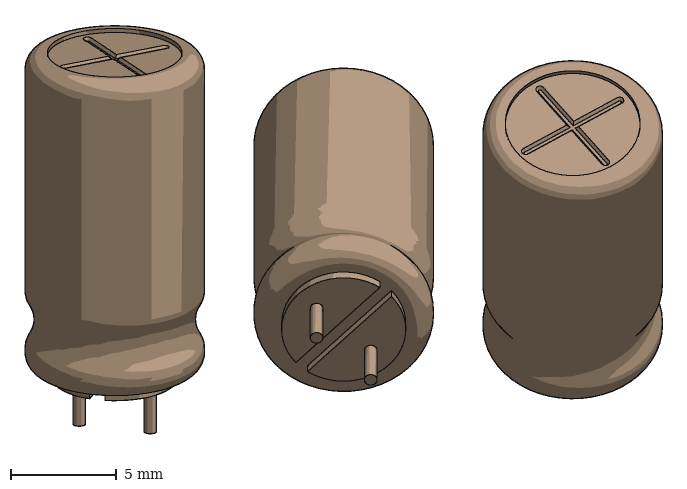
import cadquery as cq
import math

CAN_DIAMETER = 8.5
CAN_HEIGHT = 16.0
CAN_RADIUS = CAN_DIAMETER / 2
EDGE_RADIUS = 0.1 * CAN_DIAMETER

NECK_CENTRE_HEIGHT = 2.5
NECK_HEIGHT = 2.95
NECK_DEPTH = 0.05 * CAN_DIAMETER
NECK_SHOULDER_RADIUS = EDGE_RADIUS
NECK_ANGLE = 2 * math.atan2(NECK_DEPTH, NECK_HEIGHT / 2)

RECESS_DIAMETER = 0.75 * CAN_DIAMETER
RECESS_DEPTH = 0.2
GROOVE_LENGTH = 5.8
GROOVE_WIDTH = 0.4
GROOVE_FLOOR_WIDTH = 0.17
GROOVE_DEPTH = 0.15
GROOVE_ANGLES = (45, 135)

STANDOFF_DIAMETER = 5.87
STANDOFF_HEIGHT = 0.5
STANDOFF_GAP = 0.75

PIN_DIAMETER = 0.6
PIN_PITCH = 3.5
PIN_LENGTH = 2.5

CAN_BOTTOM = STANDOFF_HEIGHT
CAN_TOP = CAN_BOTTOM + CAN_HEIGHT


def arc_point(centre, radius, angle):
    """Point in the (radius, height) plane on an arc about the given centre."""
    return (centre[0] + radius * math.cos(angle), centre[1] + radius * math.sin(angle))


def make_can_shell():
    """Revolve the can outline: rounded rims, straight wall and rolled neck."""
    neck_z = CAN_BOTTOM + NECK_CENTRE_HEIGHT
    shoulder_r = CAN_RADIUS - NECK_SHOULDER_RADIUS
    lower_centre = (shoulder_r, neck_z - NECK_HEIGHT / 2)
    upper_centre = (shoulder_r, neck_z + NECK_HEIGHT / 2)
    rim_r = CAN_RADIUS - EDGE_RADIUS
    bottom_centre = (rim_r, CAN_BOTTOM + EDGE_RADIUS)
    top_centre = (rim_r, CAN_TOP - EDGE_RADIUS)
    rim_mid = math.radians(45)

    outline = (
        cq.Workplane("XZ")
        .moveTo(0, CAN_BOTTOM)
        .lineTo(rim_r, CAN_BOTTOM)
        .threePointArc(
            arc_point(bottom_centre, EDGE_RADIUS, -rim_mid),
            (CAN_RADIUS, CAN_BOTTOM + EDGE_RADIUS),
        )
        .lineTo(CAN_RADIUS, lower_centre[1])
        .threePointArc(
            arc_point(lower_centre, NECK_SHOULDER_RADIUS, NECK_ANGLE / 2),
            arc_point(lower_centre, NECK_SHOULDER_RADIUS, NECK_ANGLE),
        )
        .threePointArc(
            (CAN_RADIUS - NECK_DEPTH, neck_z),
            arc_point(upper_centre, NECK_SHOULDER_RADIUS, -NECK_ANGLE),
        )
        .threePointArc(
            arc_point(upper_centre, NECK_SHOULDER_RADIUS, -NECK_ANGLE / 2),
            (CAN_RADIUS, upper_centre[1]),
        )
        .lineTo(CAN_RADIUS, CAN_TOP - EDGE_RADIUS)
        .threePointArc(
            arc_point(top_centre, EDGE_RADIUS, rim_mid),
            (rim_r, CAN_TOP),
        )
        .lineTo(0, CAN_TOP)
        .close()
    )
    return outline.revolve(360, (0, 0, 0), (0, 1, 0))


def make_top_recess():
    """Shallow round recess in the top, including the cross of grooves in its floor."""
    recess_floor = CAN_TOP - RECESS_DEPTH
    recess = (
        cq.Workplane("XY", origin=(0, 0, recess_floor))
        .circle(RECESS_DIAMETER / 2)
        .extrude(RECESS_DEPTH)
    )
    wall_inset = (GROOVE_WIDTH - GROOVE_FLOOR_WIDTH) / 2
    wall_taper = math.degrees(math.atan2(wall_inset, GROOVE_DEPTH))
    for angle in GROOVE_ANGLES:
        groove = (
            cq.Workplane("XY", origin=(0, 0, recess_floor))
            .slot2D(GROOVE_LENGTH, GROOVE_WIDTH, angle)
            .extrude(-GROOVE_DEPTH, taper=wall_taper)
        )
        recess = recess.union(groove)
    return recess


def make_standoff():
    """Two half-round feet under the can, separated by a straight gap along Y."""
    disc = cq.Workplane("XY").circle(STANDOFF_DIAMETER / 2).extrude(STANDOFF_HEIGHT)
    gap = (
        cq.Workplane("XY")
        .rect(STANDOFF_GAP, STANDOFF_DIAMETER)
        .extrude(STANDOFF_HEIGHT)
    )
    return disc.cut(gap)


def make_can():
    return make_can_shell().cut(make_top_recess()).union(make_standoff())


def make_pin(x):
    """Round lead hanging from the underside of a standoff foot."""
    return cq.Workplane("XY").center(x, 0).circle(PIN_DIAMETER / 2).extrude(-PIN_LENGTH)


can = make_can()
pins = [make_pin(side * PIN_PITCH / 2) for side in (-1, 1)]

result = cq.Compound.makeCompound([can.val(), *[pin.val() for pin in pins]])